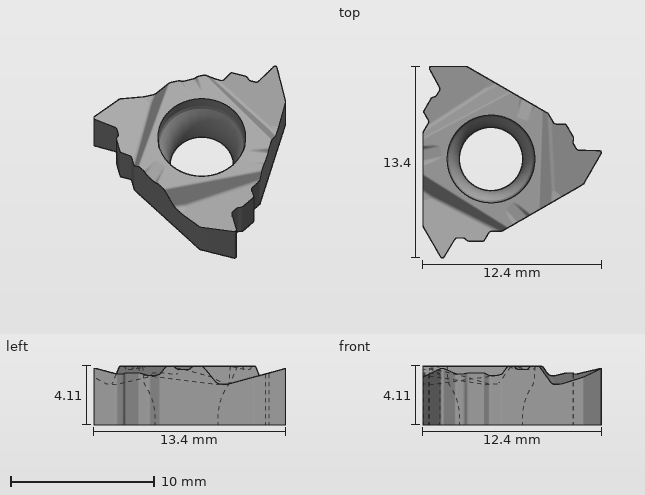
import cadquery as cq
import math

height = 4.11
lobe_count = 3
lobe_angle = 360 / lobe_count
side_distance = 4.75
oversize = 26.76
touching = 0.001

flank_angle = 60.0
tip_shoulder_y = -4.71
tip_apex_x = -3.4
root_y = -5.51
crest_y = -5.74
land_y = -5.05
root_start_x = -2.46
root_end_x = -1.87
crest_start_x = -1.63
crest_end_x = -0.5
tip_radius = 0.15
shoulder_radius = 0.27
root_radius = 0.24
step_radius = 0.27
crest_radius = 0.13
land_radius = 0.25

rake_angle = 15.4
rake_tip_y = -6.92
rake_tip_z = 3.96
floor_z = 2.86
floor_tilt = 4.5
wall_distance = 3.48
wall_direction = -32.0
wall_slope = 55.0
wall_foot_radius = 0.31
wall_top_radius = 0.21

notch_direction = 12.5
notch_side_y = 0.24
notch_depth = 0.23
notch_floor_width = 0.83
notch_length = 1.3
notch_wall_run = 0.54
notch_runout = 0.67
notch_floor_radius = 0.27
notch_top_radius = 0.21

bore_radius = 4.4 / 2
seat_rim_radius = 3.06
seat_wall_radius = 3.01
seat_wall_depth = 0.99
seat_step_radius = 2.93
seat_step_depth = 1.27
flare_radius = 3.88


def rotated(point, angle):
    """Turn a plane point about the origin."""
    c = math.cos(math.radians(angle))
    s = math.sin(math.radians(angle))
    return (c * point[0] - s * point[1], s * point[0] + c * point[1])


def on_each_lobe(solid):
    """Copies of a solid at all lobes."""
    return [solid.rotate((0, 0, 0), (0, 0, 1), i * lobe_angle) for i in range(lobe_count)]


def rounded_outline(corners):
    """Closed outline from (point, radius) corners, each rounded by a tangent arc."""
    arcs = []
    for i, (point, radius) in enumerate(corners):
        here = cq.Vector(*point)
        back = (cq.Vector(*corners[i - 1][0]) - here).normalized()
        ahead = (cq.Vector(*corners[(i + 1) % len(corners)][0]) - here).normalized()
        half_angle = back.getAngle(ahead) / 2
        tangent = radius / math.tan(half_angle)
        to_arc = radius / math.sin(half_angle) - radius
        middle = here + (back + ahead).normalized() * to_arc
        arcs.append((here + back * tangent, middle, here + ahead * tangent))
    outline = cq.Workplane("XY").moveTo(arcs[0][2].x, arcs[0][2].y)
    for start, middle, end in arcs[1:] + arcs[:1]:
        outline = outline.lineTo(start.x, start.y).threePointArc((middle.x, middle.y), (end.x, end.y))
    return outline.close()


def lobe_corners():
    """Corners of one lobe, from the flat side through the tip to the next flat side."""
    flank_slope = math.tan(math.radians(flank_angle))
    apex_y = tip_shoulder_y - flank_slope * (tip_apex_x + side_distance)
    land_start_x = crest_end_x + (land_y - crest_y) / flank_slope
    side = math.radians(lobe_angle / 2)
    land_end_x = (side_distance + land_y * math.sin(side)) / math.cos(side)
    return [
        ((-side_distance, tip_shoulder_y), shoulder_radius),
        ((tip_apex_x, apex_y), tip_radius),
        ((root_start_x, root_y), root_radius),
        ((root_end_x, root_y), step_radius),
        ((crest_start_x, crest_y), step_radius),
        ((crest_end_x, crest_y), crest_radius),
        ((land_start_x, land_y), land_radius),
        ((land_end_x, land_y), shoulder_radius),
    ]


def body():
    corners = [
        (rotated(point, i * lobe_angle), radius)
        for i in range(lobe_count)
        for point, radius in lobe_corners()
    ]
    return rounded_outline(corners).extrude(height)


def half_space(origin, along, normal):
    """Large block on the normal side of a plane."""
    plane = cq.Plane(origin=origin, xDir=along, normal=normal)
    return cq.Workplane(plane).box(oversize, oversize, oversize, centered=(True, True, False))


def chip_breaker():
    """Material above the rake face, the lead-in floor and the wall of one lobe."""
    rake = math.radians(rake_angle)
    above_rake = half_space((0, rake_tip_y, rake_tip_z), (1, 0, 0), (0, math.sin(rake), math.cos(rake)))
    tilt = math.radians(floor_tilt)
    above_floor = half_space((-side_distance, 0, floor_z), (0, 1, 0), (math.sin(tilt), 0, math.cos(tilt)))
    out = rotated((0, -1), wall_direction)
    along = rotated((1, 0), wall_direction)
    slope = math.radians(wall_slope)
    outside_wall = half_space(
        (out[0] * wall_distance, out[1] * wall_distance, height),
        (along[0], along[1], 0),
        (out[0] * math.sin(slope), out[1] * math.sin(slope), math.cos(slope)),
    )
    cutter = outside_wall.intersect(above_rake).intersect(above_floor)
    corner = cutter.vertices("<Z").val().Center()
    foot_edges = [
        edge for edge in cutter.edges().vals()
        if any((end.Center() - corner).Length < touching for end in edge.Vertices())
    ]
    return cutter.newObject(foot_edges).fillet(wall_foot_radius)


def notch():
    """Ramp with sloping walls that runs out into the top face."""
    direction = math.radians(notch_direction)
    ramp = math.atan2(notch_depth, notch_length)
    along = (math.cos(direction) * math.cos(ramp), math.sin(direction) * math.cos(ramp), math.sin(ramp))
    across = (-math.sin(direction), math.cos(direction), 0)
    plane = cq.Plane(
        origin=(-side_distance, notch_side_y, height - notch_depth),
        xDir=across,
        normal=along,
    )
    half_floor = notch_floor_width / 2
    half_opening = half_floor + notch_wall_run
    section = [
        (-half_opening, notch_wall_run),
        (-half_floor, 0),
        (half_floor, 0),
        (half_opening, notch_wall_run),
    ]
    cutter = cq.Workplane(plane).polyline(section).close().extrude(notch_length + notch_runout, both=True)
    for side in (-half_floor, half_floor):
        floor_edge_point = plane.toWorldCoords((side, 0, 0)).toTuple()
        cutter = cutter.edges(cq.selectors.NearestToPointSelector(floor_edge_point))
        cutter = cutter.fillet(notch_floor_radius)
    return cutter


def screw_hole():
    """Through bore that flares out along a convex arc into a nearly straight seat."""
    flare_centre_r = bore_radius + flare_radius
    seat_step_z = height - seat_step_depth
    flare_angle = math.acos((flare_centre_r - seat_step_radius) / flare_radius)
    flare_start_z = seat_step_z - flare_radius * math.sin(flare_angle)
    flare_middle = (
        flare_centre_r - flare_radius * math.cos(flare_angle / 2),
        flare_start_z + flare_radius * math.sin(flare_angle / 2),
    )
    return (
        cq.Workplane("XZ")
        .lineTo(bore_radius, 0)
        .lineTo(bore_radius, flare_start_z)
        .threePointArc(flare_middle, (seat_step_radius, seat_step_z))
        .lineTo(seat_wall_radius, height - seat_wall_depth)
        .lineTo(seat_rim_radius, height)
        .lineTo(0, height)
        .close()
        .revolve(360, (0, 0, 0), (0, 1, 0))
    )


def inner_top_edges(part):
    """Edges of the top face that lie inside the flat sides."""
    return [
        edge for edge in part.faces(">Z").edges().vals()
        if math.hypot(edge.Center().x, edge.Center().y) < side_distance - 0.13
    ]


result = body()
for cutter in on_each_lobe(chip_breaker()):
    result = result.cut(cutter)
result = result.newObject(inner_top_edges(result)).fillet(wall_top_radius)

for cutter in on_each_lobe(notch()):
    result = result.cut(cutter)
notch_rims = [edge for edge in inner_top_edges(result) if edge.Length() < notch_length]
result = result.newObject(notch_rims).fillet(notch_top_radius)

result = result.cut(screw_hole())